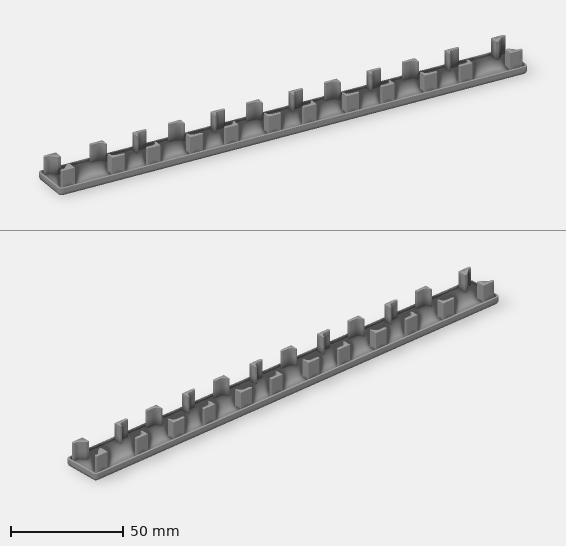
import cadquery as cq
import math

LENGTH = 240.0
WIDTH = 20.0
TRAY_HEIGHT = 4.0
WALL = 1.0
FLOOR = 3.0
CORNER_RADIUS = 1.8
BOTTOM_FILLET = 1.75

TOTAL_HEIGHT = 12.0
POST_HEIGHT = TOTAL_HEIGHT - FLOOR
POST_GAP = 0.5
POST_BACK_X = WIDTH / 2 - WALL - POST_GAP
LEG_THICKNESS = 1.5
LEG_END_RADIUS = LEG_THICKNESS / 2

PAIR_COUNT = 10
PAIR_PITCH = 20.0
FOOT_OFFSET = 2.35
SIDE_LEG = 6.85
SIDE_FOOT = 4.0
SIDE_FILLET = SIDE_FOOT - LEG_THICKNESS
SIDE_FOOT_TIP = 0.8

CORNER_HEEL_Y = 111.5
CORNER_LEG = 6.75
CORNER_FOOT = 4.5
CORNER_GUSSET = CORNER_FOOT - LEG_THICKNESS
CORNER_FOOT_TIP = 1.5


def make_tray():
    body = cq.Workplane("XY").box(WIDTH, LENGTH, TRAY_HEIGHT, centered=(True, True, False))
    body = body.edges("|Z").fillet(CORNER_RADIUS)
    body = body.faces("<Z").edges().fillet(BOTTOM_FILLET)
    cavity = (
        cq.Workplane("XY", origin=(0, 0, FLOOR))
        .rect(WIDTH - 2 * WALL, LENGTH - 2 * WALL)
        .extrude(TRAY_HEIGHT - FLOOR)
        .edges("|Z")
        .fillet(CORNER_RADIUS - WALL)
    )
    return body.cut(cavity)


def heel_frame(side, heel_y, leg_dir):
    """Map distances (across the tray, along the leg) from a post's heel to X and Y."""
    return lambda across, along: (side * (POST_BACK_X - across), heel_y + leg_dir * along)


def start_foot(at, foot, foot_tip):
    """Begin a post outline: from the heel along the foot and across its square tip."""
    return (
        cq.Workplane("XY", origin=(0, 0, FLOOR))
        .moveTo(*at(0, 0))
        .lineTo(*at(foot, 0))
        .lineTo(*at(foot, foot_tip))
    )


def finish_leg(outline, at, leg):
    """Complete a post outline up the leg, over its rounded end and down its back, then extrude it."""
    return (
        outline.lineTo(*at(LEG_THICKNESS, leg - LEG_END_RADIUS))
        .threePointArc(at(LEG_END_RADIUS, leg), at(0, leg - LEG_END_RADIUS))
        .close()
        .extrude(POST_HEIGHT)
    )


def make_side_post(side, pair_y, leg_dir):
    at = heel_frame(side, pair_y - leg_dir * FOOT_OFFSET, leg_dir)
    arc_inset = SIDE_FILLET * (1 - math.sqrt(0.5))
    outline = start_foot(at, SIDE_FOOT, SIDE_FOOT_TIP).threePointArc(
        at(LEG_THICKNESS + arc_inset, SIDE_FOOT_TIP + arc_inset),
        at(LEG_THICKNESS, SIDE_FOOT_TIP + SIDE_FILLET),
    )
    return finish_leg(outline, at, SIDE_LEG)


def make_corner_post(side, end):
    at = heel_frame(side, end * CORNER_HEEL_Y, end)
    gusset_top = at(LEG_THICKNESS, CORNER_FOOT_TIP + CORNER_GUSSET)
    outline = start_foot(at, CORNER_FOOT, CORNER_FOOT_TIP).lineTo(*gusset_top)
    return finish_leg(outline, at, CORNER_LEG)


result = make_tray()

for index in range(PAIR_COUNT):
    pair_y = (index - (PAIR_COUNT - 1) / 2) * PAIR_PITCH
    left_leg_dir = -1 if index % 2 == 0 else 1
    result = result.union(make_side_post(-1, pair_y, left_leg_dir))
    result = result.union(make_side_post(1, pair_y, -left_leg_dir))

for side in (-1, 1):
    for end in (-1, 1):
        result = result.union(make_corner_post(side, end))